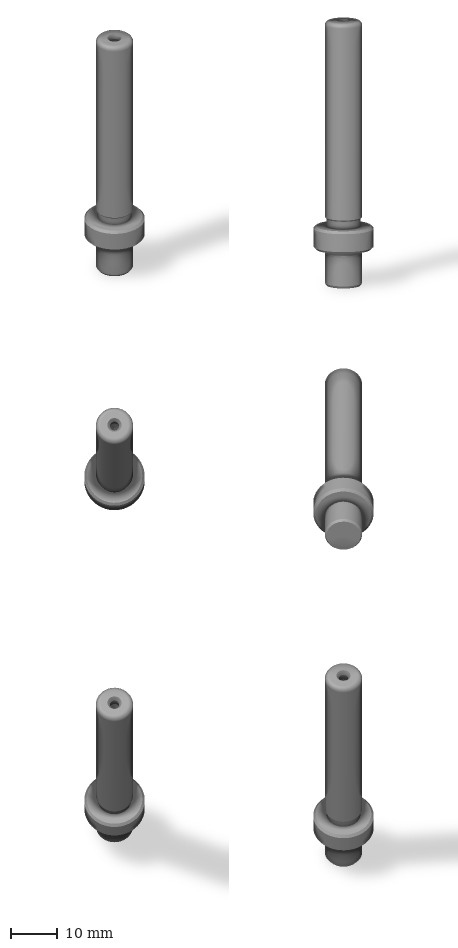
import cadquery as cq
import math

total_length = 58.0
shaft_radius = 4.0
neck_radius = 3.65
flange_radius = 6.5
flange_bottom = 8.0
flange_height = 5.0
flange_chamfer = 0.5
neck_length = 1.6
shaft_chamfer = shaft_radius - neck_radius
end_round = 1.0

spigot_chamfer_radial = 0.35
spigot_chamfer_height = 0.5
undercut_radius = 3.5
undercut_height = 0.45
undercut_chamfer = shaft_radius - undercut_radius

countersink_radius = 1.5
drill_radius = 1.0
countersink_half_angle = 30.0
drill_depth = 2.5
drill_tip_half_angle = 59.0


def make_pin():
    """Revolve the stepped outer profile about the Z axis."""
    flange_top = flange_bottom + flange_height
    shaft_bottom = flange_top + neck_length
    undercut_floor = flange_bottom - undercut_height
    round_start = total_length - end_round
    round_center_radius = shaft_radius - end_round
    round_mid = (
        round_center_radius + end_round * math.cos(math.pi / 4),
        round_start + end_round * math.sin(math.pi / 4),
    )
    return (
        cq.Workplane("XZ")
        .moveTo(0, 0)
        .lineTo(shaft_radius - spigot_chamfer_radial, 0)
        .lineTo(shaft_radius, spigot_chamfer_height)
        .lineTo(shaft_radius, undercut_floor - undercut_chamfer)
        .lineTo(undercut_radius, undercut_floor)
        .lineTo(undercut_radius, flange_bottom)
        .lineTo(flange_radius - flange_chamfer, flange_bottom)
        .lineTo(flange_radius, flange_bottom + flange_chamfer)
        .lineTo(flange_radius, flange_top - flange_chamfer)
        .lineTo(flange_radius - flange_chamfer, flange_top)
        .lineTo(neck_radius, flange_top)
        .lineTo(neck_radius, shaft_bottom)
        .lineTo(shaft_radius, shaft_bottom + shaft_chamfer)
        .lineTo(shaft_radius, round_start)
        .threePointArc(round_mid, (round_center_radius, total_length))
        .lineTo(0, total_length)
        .close()
        .revolve(360, (0, 0), (0, 1))
    )


def make_center_hole():
    """Countersink, drilled bore and conical drill tip, as a solid to cut."""
    countersink_depth = (countersink_radius - drill_radius) / math.tan(math.radians(countersink_half_angle))
    tip_depth = drill_radius / math.tan(math.radians(drill_tip_half_angle))
    bore_bottom = total_length - drill_depth
    return (
        cq.Workplane("XZ")
        .moveTo(0, total_length)
        .lineTo(countersink_radius, total_length)
        .lineTo(drill_radius, total_length - countersink_depth)
        .lineTo(drill_radius, bore_bottom)
        .lineTo(0, bore_bottom - tip_depth)
        .close()
        .revolve(360, (0, 0), (0, 1))
    )


result = make_pin().cut(make_center_hole())